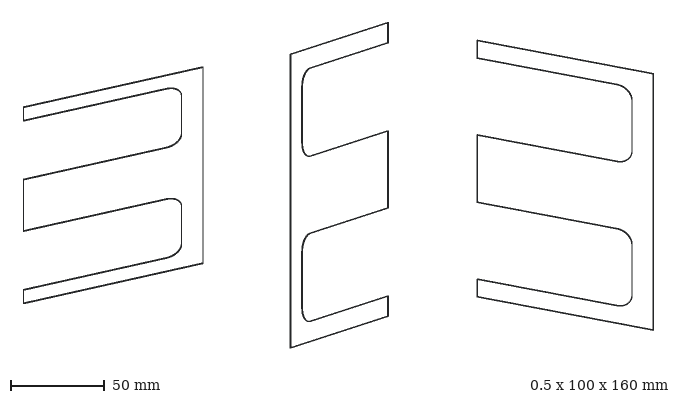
import cadquery as cq

thickness = 0.5
width = 100.0
height = 160.0

spine_width = 12.0
outer_arm_height = 11.0
middle_arm_height = 42.0
slot_corner_radius = 8.5

slot_length = width - spine_width
slot_height = (height - middle_arm_height) / 2 - outer_arm_height
slot_center_y = -width / 2 + slot_length / 2
slot_offset_z = (middle_arm_height + slot_height) / 2


def make_slot(center_z):
    """Open-ended slot with rounded inner corners at the spine."""
    return (
        cq.Workplane("XY")
        .box(thickness, slot_length, slot_height)
        .edges("|X and >Y")
        .fillet(slot_corner_radius)
        .translate((0, slot_center_y, center_z))
    )


plate = cq.Workplane("XY").box(thickness, width, height)
for center_z in (-slot_offset_z, slot_offset_z):
    plate = plate.cut(make_slot(center_z))

result = plate